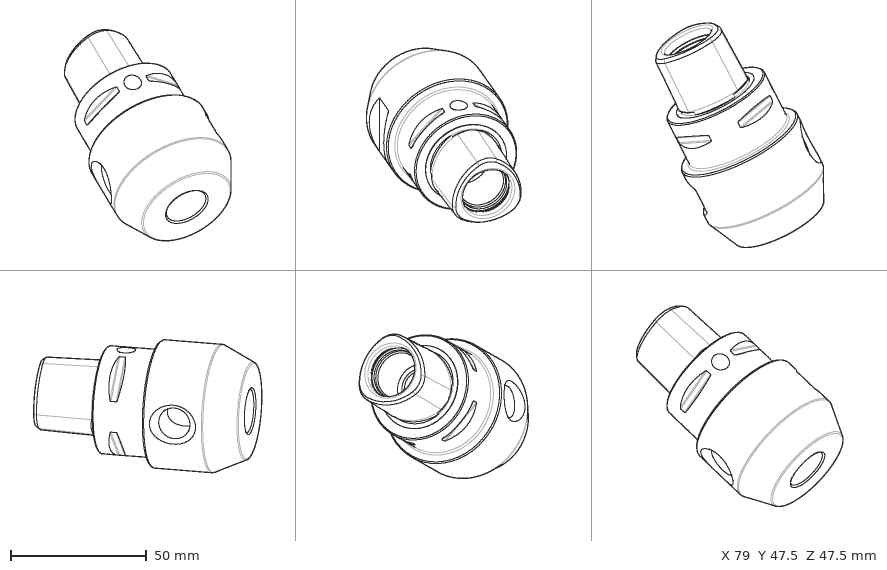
import cadquery as cq
import math


length = 79.0
shank_chamfer_length = 1.35
neck_start = 22.3
flange_start = 24.0
body_start = 44.0
nose_start = 66.75

lobe_reach = 14.85
flat_reach = 13.2
lobe_arc_radius = 8.4
shank_taper = 1 / 40
shank_chamfer_depth = 0.9
neck_radius = 14.0
neck_radius_start = 22.8
lobe_angles = (90, 210, 330)

flange_radius = 40.0 / 2
flange_chamfer = 0.5
relief_groove_radius = 15.8

body_radius = 47.5 / 2
body_chamfer_length = 0.6
body_chamfer_depth = 0.5
body_root_fillet = 0.7
nose_radius = 18.0
nose_fillet = 0.6
shoulder_fillet = 1.2

mouth_radius = 19.3 / 2
mouth_fillet = 0.9
groove_radius = 20.0 / 2
groove_start = 3.9
groove_end = 5.1
collar_radius = 18.3 / 2
collar_end = 6.5
chamber_radius = 17.2 / 2
chamber_start = 7.1
chamber_end = 23.7
channel_radius = 12.4 / 2
channel_chamfer = 0.6
tool_bore_radius = 16.0 / 2
tool_bore_start = 31.6
tool_bore_chamfer = 0.6

gripper_x = 32.0
slot_floor_distance = 17.7
slot_floor_width = 2.5
slot_corner_fillet = 0.5
slot_wall_angle = 30
slot_angles = (45, 135, 225, 315)
dimple_radius = 6.9 / 2

screw_x = 55.5
screw_hole_radius = 5.9
screw_mouth_radius = 8.8
relief_floor_distance = 20.8
relief_floor_width = 9.95

margin = 1.6
selection_gap = 0.1


def polar(radius, angle):
    """Point in the YZ section at an angle in degrees from +Y."""
    return radius * math.cos(math.radians(angle)), radius * math.sin(math.radians(angle))


def lobed_section(workplane, inset):
    """Three-lobed outline of six tangent arcs, moved inwards by inset."""
    lobe_center = lobe_reach - lobe_arc_radius
    gap = flat_reach - lobe_arc_radius
    side_center = (lobe_center**2 - gap**2) / (2 * gap - lobe_center)
    side_arc_radius = flat_reach + side_center
    half_span = math.degrees(math.atan2(
        side_center * math.sin(math.radians(60)),
        lobe_center + side_center * math.cos(math.radians(60)),
    ))

    def lobe_end(angle, side):
        center_y, center_z = polar(lobe_center, angle)
        offset_y, offset_z = polar(lobe_arc_radius - inset, angle + side * half_span)
        return center_y + offset_y, center_z + offset_z

    outline = workplane.moveTo(*lobe_end(lobe_angles[0], -1))
    for angle in lobe_angles:
        outline = outline.threePointArc(polar(lobe_reach - inset, angle), lobe_end(angle, 1))
        side_middle = polar(side_arc_radius - side_center - inset, angle + 60)
        outline = outline.threePointArc(side_middle, lobe_end(angle + 120, -1))
    return outline.close()


def lobed_frustum(start, end, start_inset, end_inset):
    """Lobed solid between two X stations."""
    first = lobed_section(cq.Workplane("YZ", origin=(start, 0, 0)), start_inset)
    both = lobed_section(first.workplane(offset=end - start), end_inset)
    return both.loft(ruled=True, combine=True)


def turned(points):
    """Solid of revolution about X from (x, radius) points."""
    return cq.Workplane("XY").polyline(points).close().revolve(360, (0, 0, 0), (1, 0, 0))


def x_slab(x, radius):
    """Selector for the edges lying at one X station within a given radius."""
    reach = radius + selection_gap
    return cq.selectors.BoxSelector(
        (x - selection_gap, -reach, -reach), (x + selection_gap, reach, reach), boundingbox=True
    )


def make_shank():
    taper_start = shank_chamfer_length
    inset = (neck_start - taper_start) * shank_taper
    tip = lobed_frustum(0, taper_start, inset + shank_chamfer_depth, inset)
    taper = lobed_frustum(taper_start, neck_start, inset, 0)
    neck_end = flange_start + margin
    neck = lobed_frustum(neck_start, neck_end, 0, 0)
    neck_slope_rise = lobe_reach - neck_radius
    envelope = turned([
        (0, 0),
        (0, lobe_reach),
        (neck_radius_start - neck_slope_rise, lobe_reach),
        (neck_radius_start, neck_radius),
        (neck_end, neck_radius),
        (neck_end, 0),
    ])
    return tip.union(taper).union(neck).intersect(envelope)


def make_flange_and_body():
    groove_depth = (relief_groove_radius - neck_radius) / 2
    fillet_middle = body_root_fillet * (1 - math.sqrt(0.5))
    profile = (
        cq.Workplane("XY")
        .moveTo(flange_start, 0)
        .lineTo(flange_start, neck_radius)
        .threePointArc(
            (flange_start + groove_depth, neck_radius + groove_depth),
            (flange_start, relief_groove_radius),
        )
        .lineTo(flange_start, flange_radius - flange_chamfer)
        .lineTo(flange_start + flange_chamfer, flange_radius)
        .lineTo(body_start - body_root_fillet, flange_radius)
        .threePointArc(
            (body_start - fillet_middle, flange_radius + fillet_middle),
            (body_start, flange_radius + body_root_fillet),
        )
        .lineTo(body_start, body_radius - body_chamfer_depth)
        .lineTo(body_start + body_chamfer_length, body_radius)
        .lineTo(nose_start, body_radius)
        .lineTo(length, nose_radius)
        .lineTo(length, 0)
        .close()
    )
    body = profile.revolve(360, (0, 0, 0), (1, 0, 0))
    body = body.faces(">X").edges().fillet(nose_fillet)
    nose_shoulder = x_slab(nose_start, body_radius)
    return body.edges(nose_shoulder).fillet(shoulder_fillet)


def make_bore():
    return turned([
        (0, 0),
        (0, mouth_radius),
        (groove_start, mouth_radius),
        (groove_start, groove_radius),
        (groove_end, groove_radius),
        (groove_end, collar_radius),
        (collar_end, collar_radius),
        (chamber_start, chamber_radius),
        (chamber_end, chamber_radius),
        (chamber_end, channel_radius + channel_chamfer),
        (chamber_end + channel_chamfer, channel_radius),
        (tool_bore_start, channel_radius),
        (tool_bore_start, tool_bore_radius),
        (length - tool_bore_chamfer, tool_bore_radius),
        (length, tool_bore_radius + tool_bore_chamfer),
        (length, 0),
    ])


def make_gripper_slot(angle):
    height = flange_radius + margin - slot_floor_distance
    floor_half = slot_floor_width / 2
    top_half = floor_half + height * math.tan(math.radians(slot_wall_angle))
    slot = (
        cq.Workplane("XZ", origin=(gripper_x, 0, slot_floor_distance))
        .polyline([(-floor_half, 0), (floor_half, 0), (top_half, height), (-top_half, height)])
        .close()
        .extrude(flange_radius, both=True)
    )
    slot = slot.faces("<Z").edges("|Y").fillet(slot_corner_fillet)
    return slot.rotate((0, 0, 0), (1, 0, 0), angle)


def make_dimple():
    """Right-angled cone sunk into the top of the flange."""
    size = dimple_radius + margin
    cone = cq.Solid.makeCone(
        0, size, size, cq.Vector(gripper_x, 0, flange_radius - dimple_radius), cq.Vector(0, 0, 1)
    )
    return cq.Workplane(cone)


def make_screw_hole():
    """Radial hole on the -Y side with a 45 degree countersink, reaching the bore."""
    top = body_radius + margin
    top_radius = screw_mouth_radius + margin
    outwards = cq.Vector(0, -1, 0)
    hole = cq.Solid.makeCylinder(screw_hole_radius, top, cq.Vector(screw_x, 0, 0), outwards)
    sink_depth = top_radius - screw_hole_radius
    sink_base = cq.Vector(screw_x, sink_depth - top, 0)
    sink = cq.Solid.makeCone(screw_hole_radius, top_radius, sink_depth, sink_base, outwards)
    return cq.Workplane(hole).union(cq.Workplane(sink))


def make_relief():
    """Flat with 45 degree flanks milled across the +Y side of the body."""
    height = body_radius + margin - relief_floor_distance
    floor_half = relief_floor_width / 2
    top_half = floor_half + height
    return (
        cq.Workplane("XY", origin=(screw_x, relief_floor_distance, 0))
        .polyline([(-floor_half, 0), (floor_half, 0), (top_half, height), (-top_half, height)])
        .close()
        .extrude(body_radius, both=True)
    )


def round_bore_mouth(holder):
    """Round the bore edge on the shank end face."""
    mouth_edge = x_slab(0, mouth_radius)
    return holder.edges(mouth_edge).fillet(mouth_fillet)


holder = make_shank().union(make_flange_and_body()).cut(make_bore())
holder = round_bore_mouth(holder)
for slot_angle in slot_angles:
    holder = holder.cut(make_gripper_slot(slot_angle))
result = holder.cut(make_dimple()).cut(make_screw_hole()).cut(make_relief())